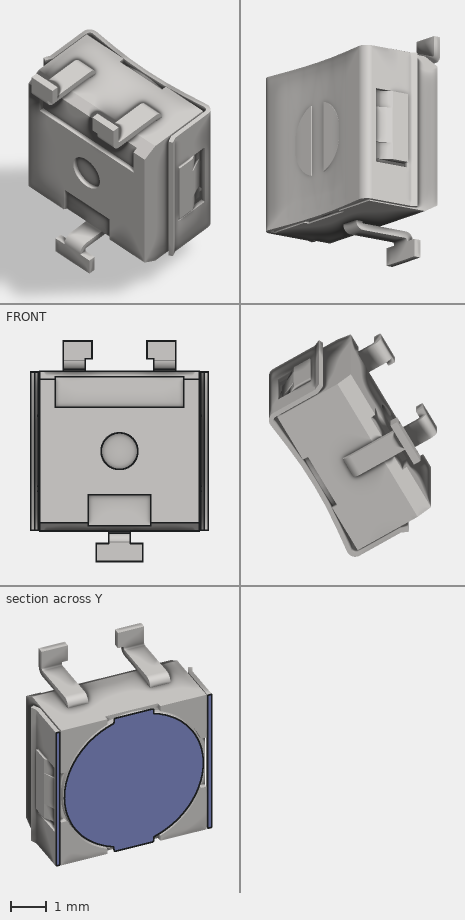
import cadquery as cq
import math


HOUSING_SIZE = 4.49
HOUSING_DEPTH = 2.38
HALF_HOUSING = HOUSING_SIZE / 2
CHAMFER_DEPTH = 0.435
CHAMFER_HEIGHT = 0.23

RECESS_DEPTH = 0.14
RECESS_EDGE = 1.23
UPPER_RECESS_WIDTH = 3.62
LOWER_RECESS_WIDTH = 1.76
DIMPLE_DIAMETER = 1.03

POCKET_FLOOR = 2.22
POCKET_RADIUS = 2.23
OPENING_WIDTH = 1.635
ROTOR_RADIUS = 2.18
ROTOR_TOP = 2.41
ROTOR_CHAMFER = 0.055
KNOB_RADIUS = 1.055
KNOB_TOP = 2.54
SLOT_WIDTH = 0.595

SPRING_HEIGHT = 4.45
SPRING_THICKNESS = 0.13
SPRING_HALF_WIDTH = 2.41
SPRING_BACK = 2.665
SPRING_TILT = 6.5
CORNER_RADIUS = 0.25
SAG_RADIUS = 11.965
LIP_START = 1.07
LIP_ANGLE = 25.0
LIP_LENGTH = 0.205
WINDOW_FRONT = 1.195
WINDOW_BACK = 2.28
WINDOW_TOP = 1.005
WINDOW_BOTTOM = -1.13

LATCH_REACH = 2.475
LATCH_BASE_THICKNESS = 0.025
LATCH_HEIGHT = 1.97
LATCH_RAMP_START = 1.72
LATCH_RAMP_END = 2.05
LATCH_RIB_HEIGHT = 1.015
LATCH_RIB_RAMP_START = 1.735
LATCH_RIB_RAMP_END = 2.215

LEAD_TIP = 3.1
LEAD_FRONT = -0.575
FOOT_THICKNESS = 0.21
FOOT_START = 2.59
ARM_INNER = 2.305
ARM_OUTER = 2.5
ROOT_BACK = 1.4
ROOT_THICKNESS = 0.21
BEND_OUTER_RADIUS = 0.24
BEND_INNER_RADIUS = 0.05
LEAD_EMBED = 0.185
UPPER_LEAD_WIDTH = 0.625
UPPER_LEAD_CENTER = 1.27
UPPER_FOOT_WIDTH = 0.81
LOWER_LEAD_WIDTH = 0.61
LOWER_FOOT_WIDTH = 1.315


def box(x_min, x_max, y_min, y_max, z_min, z_max):
    """Box between two opposite corners."""
    size = (x_max - x_min, y_max - y_min, z_max - z_min)
    return cq.Workplane("XY").box(*size, centered=False).translate((x_min, y_min, z_min))


def disc(radius, y_min, y_max):
    """Cylinder about the Y axis."""
    return cq.Workplane("XZ", origin=(0, y_max, 0)).circle(radius).extrude(y_max - y_min)


def mirrored_x(solid):
    return solid.mirror("YZ")


def make_housing():
    chamfered_edge = HALF_HOUSING - CHAMFER_HEIGHT
    side_outline = [
        (0, -chamfered_edge),
        (CHAMFER_DEPTH, -HALF_HOUSING),
        (HOUSING_DEPTH, -HALF_HOUSING),
        (HOUSING_DEPTH, HALF_HOUSING),
        (CHAMFER_DEPTH, HALF_HOUSING),
        (0, chamfered_edge),
    ]
    housing = cq.Workplane("YZ").polyline(side_outline).close().extrude(HALF_HOUSING, both=True)
    upper_half = UPPER_RECESS_WIDTH / 2
    lower_half = LOWER_RECESS_WIDTH / 2
    housing = housing.cut(box(-upper_half, upper_half, 0, RECESS_DEPTH, RECESS_EDGE, HALF_HOUSING))
    housing = housing.cut(box(-lower_half, lower_half, 0, RECESS_DEPTH, -HALF_HOUSING, -RECESS_EDGE))
    housing = housing.cut(disc(DIMPLE_DIAMETER / 2, 0, RECESS_DEPTH))
    housing = housing.cut(disc(POCKET_RADIUS, POCKET_FLOOR, HOUSING_DEPTH))
    for half_x, half_z in ((OPENING_WIDTH / 2, HALF_HOUSING), (HALF_HOUSING, OPENING_WIDTH / 2)):
        housing = housing.cut(box(-half_x, half_x, POCKET_FLOOR, HOUSING_DEPTH, -half_z, half_z))
    return housing


def make_rotor():
    """Disc with a bevelled rim and a slotted knob, revolved about the Y axis."""
    half_section = [
        (POCKET_FLOOR, 0),
        (POCKET_FLOOR, ROTOR_RADIUS),
        (ROTOR_TOP - ROTOR_CHAMFER, ROTOR_RADIUS),
        (ROTOR_TOP, ROTOR_RADIUS - ROTOR_CHAMFER),
        (ROTOR_TOP, KNOB_RADIUS),
        (KNOB_TOP, KNOB_RADIUS),
        (KNOB_TOP, 0),
    ]
    rotor = cq.Workplane("YZ").polyline(half_section).close().revolve(360, (0, 0, 0), (1, 0, 0))
    slot_half = SLOT_WIDTH / 2
    return rotor.cut(box(-slot_half, slot_half, ROTOR_TOP, KNOB_TOP, -KNOB_RADIUS, KNOB_RADIUS))


def make_spring():
    """Strip bent over the back of the housing, with flared lips and a window in each leg."""
    tilt = math.radians(SPRING_TILT)
    lip = math.radians(LIP_ANGLE)
    inner_x = SPRING_HALF_WIDTH - SPRING_THICKNESS

    outer_corner_y = SPRING_BACK - CORNER_RADIUS + CORNER_RADIUS * (1 + math.sin(tilt)) / math.cos(tilt)
    outer_middle_y = outer_corner_y - SPRING_HALF_WIDTH * math.tan(tilt)
    inner_middle_y = outer_middle_y - SPRING_THICKNESS / math.cos(tilt)
    inner_corner_y = inner_middle_y + inner_x * math.tan(tilt)

    outer_knee_y = LIP_START
    inner_knee_y = LIP_START - SPRING_THICKNESS * math.tan(lip / 2)
    outer_tip = (SPRING_HALF_WIDTH + LIP_LENGTH * math.sin(lip), outer_knee_y - LIP_LENGTH * math.cos(lip))
    inner_tip = (
        outer_tip[0] - SPRING_THICKNESS * math.cos(lip),
        outer_tip[1] - SPRING_THICKNESS * math.sin(lip),
    )

    half_outline = [
        (0, inner_middle_y),
        (inner_x, inner_corner_y),
        (inner_x, inner_knee_y),
        inner_tip,
        outer_tip,
        (SPRING_HALF_WIDTH, outer_knee_y),
        (SPRING_HALF_WIDTH, outer_corner_y),
        (0, outer_middle_y),
    ]
    other_half = [(-x, y) for x, y in reversed(half_outline[1:-1])]
    strip = cq.Workplane("XY").polyline(half_outline + other_half).close()
    strip = strip.extrude(SPRING_HEIGHT / 2, both=True)

    bends = [
        (SPRING_HALF_WIDTH, outer_corner_y, CORNER_RADIUS),
        (-SPRING_HALF_WIDTH, outer_corner_y, CORNER_RADIUS),
        (inner_x, inner_corner_y, CORNER_RADIUS - SPRING_THICKNESS),
        (-inner_x, inner_corner_y, CORNER_RADIUS - SPRING_THICKNESS),
        (0, outer_middle_y, SAG_RADIUS),
        (0, inner_middle_y, SAG_RADIUS + SPRING_THICKNESS),
    ]
    for x, y, radius in bends:
        strip = strip.edges(cq.NearestToPointSelector((x, y, 0))).fillet(radius)

    for side in (-1, 1):
        near, far = sorted((side * HALF_HOUSING, side * outer_tip[0]))
        strip = strip.cut(box(near, far, WINDOW_FRONT, WINDOW_BACK, WINDOW_BOTTOM, WINDOW_TOP))
    return strip


def make_wedge(ramp_start, ramp_end, height):
    """Wedge on the -X side that slopes back to the face of the latch base."""
    base_face = -HALF_HOUSING - LATCH_BASE_THICKNESS
    outline = [
        (-HALF_HOUSING, WINDOW_FRONT),
        (-LATCH_REACH, WINDOW_FRONT),
        (-LATCH_REACH, ramp_start),
        (base_face, ramp_end),
        (-HALF_HOUSING, ramp_end),
    ]
    return cq.Workplane("XY").polyline(outline).close().extrude(height / 2, both=True)


def make_latch():
    """Thin base plate carrying a full-height wedge and a longer rib at mid-height."""
    half_height = LATCH_HEIGHT / 2
    base_face = -HALF_HOUSING - LATCH_BASE_THICKNESS
    base = box(base_face, -HALF_HOUSING, WINDOW_FRONT, LATCH_RIB_RAMP_END, -half_height, half_height)
    wedge = make_wedge(LATCH_RAMP_START, LATCH_RAMP_END, LATCH_HEIGHT)
    rib = make_wedge(LATCH_RIB_RAMP_START, LATCH_RIB_RAMP_END, LATCH_RIB_HEIGHT)
    return base.union(wedge).union(rib)


def make_lead(width, foot_left, foot_right):
    """Upward lead centred on X = 0, bent forward and then up into a wider foot."""
    foot_back = LEAD_FRONT + FOOT_THICKNESS
    root_front = ROOT_BACK - ROOT_THICKNESS
    root_end = HALF_HOUSING - LEAD_EMBED
    side_outline = [
        (root_front, root_end),
        (ROOT_BACK, root_end),
        (ROOT_BACK, ARM_OUTER),
        (foot_back, ARM_OUTER),
        (foot_back, LEAD_TIP),
        (LEAD_FRONT, LEAD_TIP),
        (LEAD_FRONT, ARM_INNER),
        (root_front, ARM_INNER),
    ]
    lead = cq.Workplane("YZ").polyline(side_outline).close().extrude(width / 2, both=True)
    bends = [
        (ROOT_BACK, ARM_OUTER, BEND_OUTER_RADIUS),
        (LEAD_FRONT, ARM_INNER, BEND_OUTER_RADIUS),
        (root_front, ARM_INNER, BEND_INNER_RADIUS),
        (foot_back, ARM_OUTER, BEND_INNER_RADIUS),
    ]
    for y, z, radius in bends:
        lead = lead.edges(cq.NearestToPointSelector((0, y, z))).fillet(radius)
    return lead.union(box(foot_left, foot_right, LEAD_FRONT, foot_back, FOOT_START, LEAD_TIP))


upper_edge = -UPPER_LEAD_WIDTH / 2
upper_lead = make_lead(UPPER_LEAD_WIDTH, upper_edge, upper_edge + UPPER_FOOT_WIDTH)
left_lead = upper_lead.translate((-UPPER_LEAD_CENTER, 0, 0))
lower_lead = make_lead(LOWER_LEAD_WIDTH, -LOWER_FOOT_WIDTH / 2, LOWER_FOOT_WIDTH / 2).mirror("XY")
latch = make_latch()

result = make_housing().union(make_rotor()).union(make_spring())
for addition in (latch, mirrored_x(latch), left_lead, mirrored_x(left_lead), lower_lead):
    result = result.union(addition)